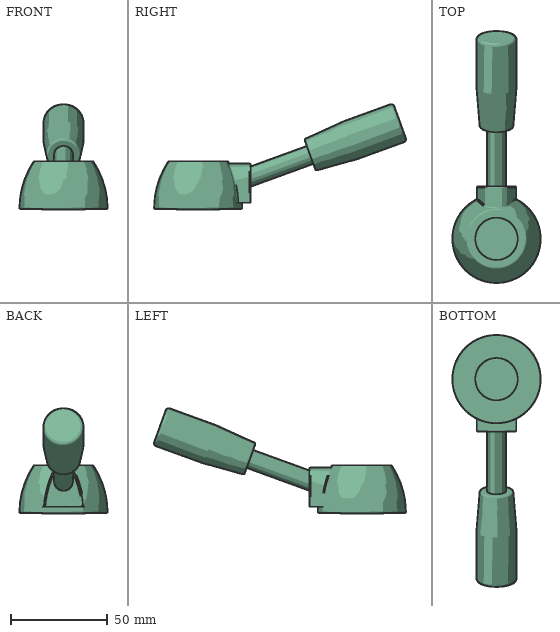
import cadquery as cq
import math

foot_diameter = 22.0
foot_height = 0.4
cap_diameter = 46.0
cap_height = 24.9
cap_top_diameter = 30.6
cap_side_bulge = 2.0
cap_edge_fillet = 0.8
recess_diameter = 22.0
recess_depth = 2.5

neck_base_width = 20.5
neck_base_z = 3.5
neck_reach = 27.2
crown_radius = 7.0
crown_center_z = 17.1
crown_half_width = 6.4
neck_fillet = 0.8
joint_fillet = 0.8

tilt = 20
axis_z = 7.3
rod_diameter = 10.0
grip_start = 61.8
grip_length = 49.7
grip_taper_length = 22.0
grip_diameter = 21
grip_small_diameter = 17.5
grip_end_fillet = 1.7
grip_start_fillet = 1.0

cap_top_z = foot_height + cap_height


def make_cap():
    base_radius = cap_diameter / 2
    top_radius = cap_top_diameter / 2
    side_length = math.hypot(cap_height, base_radius - top_radius)
    side_middle = (
        (base_radius + top_radius) / 2 + cap_side_bulge * cap_height / side_length,
        foot_height + cap_height / 2 + cap_side_bulge * (base_radius - top_radius) / side_length,
    )
    dome = (
        cq.Workplane("XZ")
        .moveTo(0, foot_height)
        .lineTo(base_radius, foot_height)
        .threePointArc(side_middle, (top_radius, cap_top_z))
        .lineTo(0, cap_top_z)
        .close()
        .revolve(360, (0, 0, 0), (0, 1, 0))
    )
    dome = dome.faces(">Z or <Z").edges().fillet(cap_edge_fillet)
    foot = cq.Workplane("XY").circle(foot_diameter / 2).extrude(2 * foot_height)
    return dome.union(foot)


def make_neck():
    shoulder_z = crown_center_z + math.sqrt(crown_radius**2 - crown_half_width**2)
    right_half = (
        cq.Workplane("XZ")
        .moveTo(0, neck_base_z)
        .lineTo(0, crown_center_z + crown_radius)
        .radiusArc((crown_half_width, shoulder_z), crown_radius)
        .tangentArcPoint((neck_base_width / 2, neck_base_z), relative=False)
        .close()
        .extrude(-neck_reach)
    )
    neck = right_half.union(right_half.mirror("YZ")).clean()
    return neck.faces(">Y").edges().fillet(neck_fillet)


def tilted_axis():
    """Workplane at the start of the tilted axis, with its normal along the axis."""
    slope = math.radians(tilt)
    direction = (0, math.cos(slope), math.sin(slope))
    return cq.Workplane(cq.Plane((0, 0, axis_z), (1, 0, 0), direction))


def make_rod():
    rod_length = grip_start + grip_length / 2
    return tilted_axis().circle(rod_diameter / 2).extrude(rod_length)


def make_grip():
    start = tilted_axis().workplane(offset=grip_start)
    taper = (
        start.circle(grip_small_diameter / 2)
        .workplane(offset=grip_taper_length)
        .circle(grip_diameter / 2)
        .loft()
    )
    taper = taper.faces("<Y").edges().fillet(grip_start_fillet)
    barrel = (
        start.workplane(offset=grip_taper_length)
        .circle(grip_diameter / 2)
        .extrude(grip_length - grip_taper_length)
    )
    barrel = barrel.faces(">Y").edges().fillet(grip_end_fillet)
    return taper.union(barrel)


def make_recess():
    floor = cq.Workplane("XY").workplane(offset=cap_top_z - recess_depth)
    return floor.circle(recess_diameter / 2).extrude(recess_depth)


def round_neck_joint(body):
    """Fillet the seam where the neck leaves the dome."""
    seam = cq.selectors.BoxSelector(
        (-neck_base_width, cap_top_diameter / 2, neck_base_z + neck_fillet),
        (neck_base_width, neck_reach - 2 * neck_fillet, cap_top_z),
    )
    return body.edges(seam).edges("not |Y").fillet(joint_fillet)


body = round_neck_joint(make_cap().union(make_neck()))
result = body.union(make_rod()).union(make_grip()).cut(make_recess())